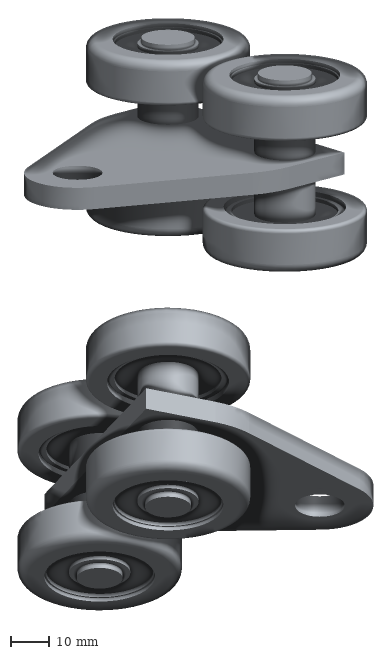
import cadquery as cq
import math

plate_thickness = 6.0
plate_half_width = 33.5
plate_back_y = 11.0
hanger_hole_y = -53.0
hanger_hole_diameter = 13.0
nose_radius = 14.0
taper_angle = math.radians(25.0)
shoulder_radius = 25.0

axle_spacing = 45.0
axle_diameter = 16.0
axle_length = 49.0
axle_shoulder_z = 23.0
top_tip_diameter = 14.0
bottom_tip_diameter = 12.0

wheel_diameter = 43.0
wheel_inner_z = 12.0
wheel_outer_z = 24.0
outer_rim_radius = 2.5
inner_rim_radius = 1.0

bearing_diameter = 28.0
bearing_inner_z = 14.0
bearing_outer_z = 22.0
outer_recess_diameter = 29.0
outer_recess_depth = 1.0
inner_recess_diameter = 32.0
inner_recess_depth = 1.0
seat_ring_radius = 1.0


def make_plate():
    """Triangular plate with tangent rounded nose, rounded shoulders and a hanger hole."""
    tangent_x = nose_radius * math.cos(taper_angle)
    tangent_y = hanger_hole_y - nose_radius * math.sin(taper_angle)
    shoulder_y = tangent_y + (plate_half_width - tangent_x) / math.tan(taper_angle)
    outline = (
        cq.Workplane("XY")
        .workplane(offset=-plate_thickness / 2)
        .moveTo(-plate_half_width, plate_back_y)
        .lineTo(-plate_half_width, shoulder_y)
        .lineTo(-tangent_x, tangent_y)
        .threePointArc((0, hanger_hole_y - nose_radius), (tangent_x, tangent_y))
        .lineTo(plate_half_width, shoulder_y)
        .lineTo(plate_half_width, plate_back_y)
        .close()
    )
    plate = outline.extrude(plate_thickness)
    for side in (-1, 1):
        corner = cq.NearestToPointSelector((side * plate_half_width, shoulder_y, 0))
        plate = plate.edges(corner).fillet(shoulder_radius)
    hole = (
        cq.Workplane("XY")
        .center(0, hanger_hole_y)
        .circle(hanger_hole_diameter / 2)
        .extrude(plate_thickness, both=True)
    )
    return plate.cut(hole)


def disc(diameter, z_start, z_end):
    """Cylinder about the Z axis between two heights."""
    return cq.Workplane("XY").workplane(offset=z_start).circle(diameter / 2).extrude(z_end - z_start)


def make_wheel():
    """Upper wheel, with its bearing as a solid web between the stepped recesses."""
    wheel = disc(wheel_diameter, wheel_inner_z, wheel_outer_z)
    wheel = wheel.faces(">Z").edges().fillet(outer_rim_radius)
    wheel = wheel.faces("<Z").edges().fillet(inner_rim_radius)
    recesses = (
        disc(outer_recess_diameter, wheel_outer_z - outer_recess_depth, wheel_outer_z),
        disc(bearing_diameter, bearing_outer_z, wheel_outer_z),
        disc(inner_recess_diameter, wheel_inner_z, wheel_inner_z + inner_recess_depth),
        disc(bearing_diameter, wheel_inner_z, bearing_inner_z),
    )
    for recess in recesses:
        wheel = wheel.cut(recess)
    return wheel.cut(make_ring_groove())


def make_ring_groove():
    """Groove against the inner recess wall that leaves a quarter-round edge on the seat ring."""
    wall_radius = inner_recess_diameter / 2
    floor_z = wheel_inner_z + inner_recess_depth
    crest_radius = wall_radius - seat_ring_radius
    arc_offset = seat_ring_radius * math.sin(math.pi / 4)
    arc_middle = (crest_radius + arc_offset, floor_z + seat_ring_radius - arc_offset)
    return (
        cq.Workplane("XZ")
        .moveTo(crest_radius, floor_z)
        .threePointArc(arc_middle, (wall_radius, floor_z + seat_ring_radius))
        .lineTo(wall_radius, floor_z)
        .close()
        .revolve(360, (0, 0, 0), (0, 1, 0))
    )


def make_axle():
    """Pin with a reduced tip at each end."""
    shaft = disc(axle_diameter, -axle_shoulder_z, axle_shoulder_z)
    top_tip = disc(top_tip_diameter, axle_shoulder_z, axle_length / 2)
    bottom_tip = disc(bottom_tip_diameter, -axle_length / 2, -axle_shoulder_z)
    return shaft.union(top_tip).union(bottom_tip)


def make_wheel_set():
    """One axle carrying an upper wheel and a mirrored lower wheel."""
    wheel = make_wheel()
    return make_axle().union(wheel).union(wheel.mirror("XY"))


result = make_plate()
wheel_set = make_wheel_set()
for side in (-1, 1):
    result = result.union(wheel_set.translate((side * axle_spacing / 2, 0, 0)))